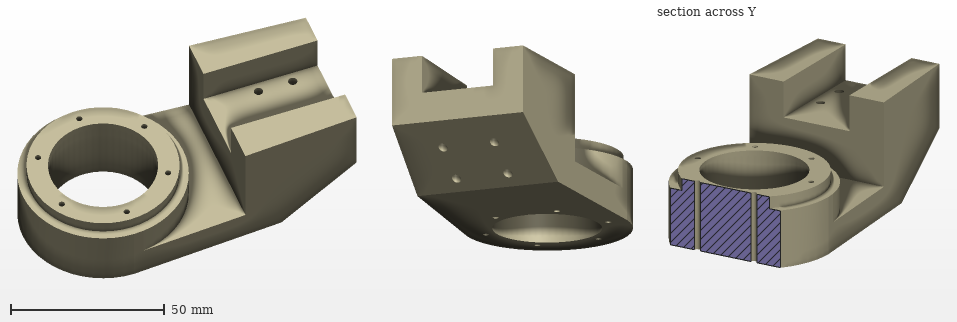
import cadquery as cq

ring_diameter = 56.0
ring_height = 20.0
collar_diameter = 50.0
collar_top = 24.1
bore_diameter = 36.0
ring_hole_circle = 43.0
ring_hole_diameter = 2.0
ring_hole_count = 6

total_length = 108
total_height = 39.5
arm_thickness = 10.0
back_width = 46.0
block_length = 40
back_y = total_length - ring_diameter / 2
block_front_y = back_y - block_length
bevel_length = 27
bevel_height = 17.0

slot_width = 25.0
slot_floor = 27
slot_hole_diameter = 3.0
slot_hole_spacing_x = 18.0
slot_hole_spacing_y = 12.0
slot_hole_back_margin = 10.0


def cylinder(diameter, height):
    return cq.Workplane("XY").circle(diameter / 2).extrude(height)


def make_outline():
    """Full-height plan shape: straight tapered sides ending in a half-round nose."""
    return (
        cq.Workplane("XY")
        .moveTo(ring_diameter / 2, 0)
        .lineTo(back_width / 2, back_y)
        .lineTo(-back_width / 2, back_y)
        .lineTo(-ring_diameter / 2, 0)
        .threePointArc((0, -ring_diameter / 2), (ring_diameter / 2, 0))
        .close()
        .extrude(total_height)
    )


def make_arm():
    """Stepped, bevelled side profile, as wide as the ring."""
    return (
        cq.Workplane("YZ")
        .moveTo(0, 0)
        .lineTo(back_y - bevel_length, 0)
        .lineTo(back_y, bevel_height)
        .lineTo(back_y, total_height)
        .lineTo(block_front_y, total_height)
        .lineTo(block_front_y, arm_thickness)
        .lineTo(0, arm_thickness)
        .close()
        .extrude(ring_diameter / 2, both=True)
    )


def make_slot():
    return (
        cq.Workplane("XY", origin=(0, back_y - block_length / 2, slot_floor))
        .rect(slot_width, block_length)
        .extrude(total_height - slot_floor)
    )


def make_slot_holes():
    pattern_y = back_y - slot_hole_back_margin - slot_hole_spacing_y / 2
    return (
        cq.Workplane("XY")
        .center(0, pattern_y)
        .rarray(slot_hole_spacing_x, slot_hole_spacing_y, 2, 2)
        .circle(slot_hole_diameter / 2)
        .extrude(total_height)
    )


def make_ring_holes():
    return (
        cq.Workplane("XY")
        .polarArray(ring_hole_circle / 2, 0, 360, ring_hole_count)
        .circle(ring_hole_diameter / 2)
        .extrude(collar_top)
    )


ring = cylinder(ring_diameter, ring_height).union(cylinder(collar_diameter, collar_top))
result = (
    make_arm()
    .cut(make_slot())
    .cut(make_slot_holes())
    .union(ring)
    .intersect(make_outline())
    .cut(cylinder(bore_diameter, collar_top))
    .cut(make_ring_holes())
)